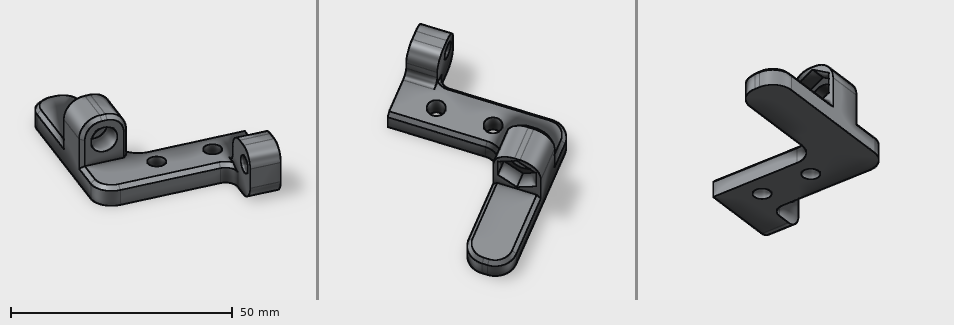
import cadquery as cq

TOTAL_X = 52.46
TOTAL_Y = 40.1
BASE_HEIGHT = 5.0
FOOT_WIDTH = 11.5
ARM_LEFT = 30.0
ARM_RIGHT = 42.1
CORNER_RADIUS = 5.1
EDGE_CHAMFER = 1.0

SCREW_DIAMETER = 4.3
MOUNT_HOLE_X = 35.5
MOUNT_HOLE_YS = (16.76, 30.4)

BLOCK_HEIGHT = 17.0
BLOCK_LEFT = 21.15
BLOCK_LENGTH = 10.0
BOLT_DIAMETER = 6.4
BOLT_Z = 11.0
NUT_CORNER_DIAMETER = 10.62
NUT_DEPTH = 4.0

LUG_THICKNESS = 7.5
LUG_HEIGHT = 13.1
LUG_RADIUS = 4.0
LUG_ROOT_RADIUS = 2.0
LUG_SIDE_RADIUS = 3.0
LUG_HOLE_X = 49.0
LUG_HOLE_Z = 8.3

LUG_FRONT = TOTAL_Y - LUG_THICKNESS


def make_base():
    """L-shaped plate with rounded corners and a chamfered upper rim."""
    r = CORNER_RADIUS
    outline = (
        cq.Workplane("XY")
        .moveTo(r, 0)
        .lineTo(ARM_RIGHT - r, 0)
        .radiusArc((ARM_RIGHT, r), -r)
        .lineTo(ARM_RIGHT, LUG_FRONT - LUG_SIDE_RADIUS)
        .radiusArc((ARM_RIGHT + LUG_SIDE_RADIUS, LUG_FRONT), LUG_SIDE_RADIUS)
        .lineTo(ARM_RIGHT + LUG_SIDE_RADIUS, TOTAL_Y)
        .lineTo(ARM_LEFT, TOTAL_Y)
        .lineTo(ARM_LEFT, FOOT_WIDTH + r)
        .radiusArc((ARM_LEFT - r, FOOT_WIDTH), r)
        .lineTo(r, FOOT_WIDTH)
        .radiusArc((0, FOOT_WIDTH - r), -r)
        .lineTo(0, r)
        .radiusArc((r, 0), -r)
        .close()
    )
    plate = outline.extrude(BASE_HEIGHT)
    return plate.faces(">Z").edges("<Y").chamfer(EDGE_CHAMFER)


def make_nut_block():
    """Arched block across the foot, chamfered around its +X end."""
    block = (
        cq.Workplane("XY")
        .box(BLOCK_LENGTH, FOOT_WIDTH, BLOCK_HEIGHT, centered=False)
        .translate((BLOCK_LEFT, 0, 0))
        .edges("|X and >Z")
        .fillet(CORNER_RADIUS)
    )
    return block.faces(">X").edges("not <Z").chamfer(EDGE_CHAMFER)


def make_lug():
    """Rounded lug beside the arm, blended into the top of the base."""
    r = LUG_RADIUS
    root = LUG_ROOT_RADIUS
    return (
        cq.Workplane("XZ", origin=(0, TOTAL_Y, 0))
        .moveTo(ARM_RIGHT - root, 0)
        .lineTo(TOTAL_X - r, 0)
        .radiusArc((TOTAL_X, r), -r)
        .lineTo(TOTAL_X, LUG_HEIGHT - r)
        .radiusArc((TOTAL_X - r, LUG_HEIGHT), -r)
        .lineTo(ARM_RIGHT + r, LUG_HEIGHT)
        .radiusArc((ARM_RIGHT, LUG_HEIGHT - r), -r)
        .lineTo(ARM_RIGHT, BASE_HEIGHT + root)
        .radiusArc((ARM_RIGHT - root, BASE_HEIGHT), root)
        .close()
        .extrude(LUG_THICKNESS)
    )


def make_mount_holes():
    """Vertical screw holes through the arm."""
    return (
        cq.Workplane("XY")
        .pushPoints([(MOUNT_HOLE_X, y) for y in MOUNT_HOLE_YS])
        .circle(SCREW_DIAMETER / 2)
        .extrude(BASE_HEIGHT)
    )


def make_bolt_cut():
    """Bolt hole along X with a hexagonal nut pocket in the -X face, corners up and down."""
    face = cq.Workplane("YZ", origin=(BLOCK_LEFT, FOOT_WIDTH / 2, BOLT_Z))
    hole = face.circle(BOLT_DIAMETER / 2).extrude(BLOCK_LENGTH)
    pocket = face.transformed(rotate=(0, 0, 90)).polygon(6, NUT_CORNER_DIAMETER).extrude(NUT_DEPTH)
    return hole.union(pocket)


def make_lug_hole():
    """Hinge hole through the lug along Y."""
    return (
        cq.Workplane("XZ", origin=(LUG_HOLE_X, TOTAL_Y, LUG_HOLE_Z))
        .circle(SCREW_DIAMETER / 2)
        .extrude(LUG_THICKNESS)
    )


body = make_base().union(make_nut_block()).union(make_lug())
result = body.cut(make_mount_holes()).cut(make_bolt_cut()).cut(make_lug_hole())